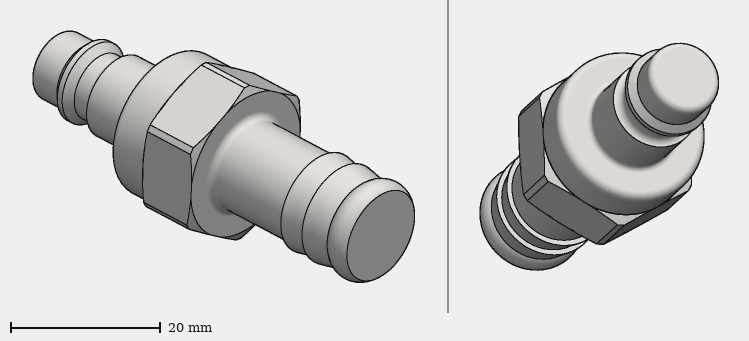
import cadquery as cq
import math

TOTAL_LENGTH = 60.0
RIDGE_START = 5.0
RIDGE_CREST_START = 6.0
RIDGE_CREST_END = 6.9
SHOULDER_X = 11.4
COLLAR_START = 20.0
HEX_START = 26.1
HEX_END = 35.05
BARB_STARTS = (48.5, 52.4)
BARB_ENDS = (52.1, 56.35)
BEAD_START = BARB_ENDS[-1]

TIP_RADIUS = 10.0 / 2
NECK_RADIUS = 9.7 / 2
PLUG_RADIUS = 12.0 / 2
COLLAR_RADIUS = 21.0 / 2
TAIL_RADIUS = 13.1 / 2
BARB_RADIUS = 14.5 / 2
BEAD_RADIUS = 14.65 / 2

TIP_ROUND = 0.9
NECK_FILLET = 1.1
COLLAR_FILLET = 0.7
COLLAR_ROUND = 1.1
TAIL_FILLET = 1.0
BARB_LAND = 0.25

HEX_ACROSS_FLATS = 21.0
HEX_CORNER_RADIUS = 23.7 / 2
HEX_ROTATION = 3.7
HEX_FACE_RADIUS = 10.55
HEX_BEVEL_LENGTH = 0.5

ARC_MIDDLE = math.sqrt(0.5)


def revolve_about_x(profile):
    """Close a profile lying in XY and turn it around the X axis."""
    return profile.close().revolve(360, (0, 0, 0), (1, 0, 0))


def round_over(profile, x, radius, size):
    """Convex quarter round from a face at x out to the given radius."""
    return (
        profile.lineTo(x, radius - size)
        .threePointArc((x + size * (1 - ARC_MIDDLE), radius - size * (1 - ARC_MIDDLE)), (x + size, radius))
    )


def fillet_up(profile, x, radius, size):
    """Concave quarter fillet from a cylinder up to a face at x."""
    return (
        profile.lineTo(x - size, radius)
        .threePointArc((x - size * (1 - ARC_MIDDLE), radius + size * (1 - ARC_MIDDLE)), (x, radius + size))
    )


def fillet_down(profile, x, radius, size):
    """Concave quarter fillet from a face at x down to a cylinder."""
    return (
        profile.lineTo(x, radius + size)
        .threePointArc((x + size * (1 - ARC_MIDDLE), radius + size * (1 - ARC_MIDDLE)), (x + size, radius))
    )


def make_plug():
    """Plug with its 45 degree locking ridge, neck and collar."""
    neck_start = RIDGE_CREST_END + PLUG_RADIUS - NECK_RADIUS
    profile = cq.Workplane("XY").moveTo(0, 0)
    profile = round_over(profile, 0, TIP_RADIUS, TIP_ROUND)
    profile = (
        profile.lineTo(RIDGE_START, TIP_RADIUS)
        .lineTo(RIDGE_CREST_START, PLUG_RADIUS)
        .lineTo(RIDGE_CREST_END, PLUG_RADIUS)
        .lineTo(neck_start, NECK_RADIUS)
    )
    profile = fillet_up(profile, SHOULDER_X, NECK_RADIUS, NECK_FILLET)
    profile = profile.lineTo(SHOULDER_X, PLUG_RADIUS)
    profile = fillet_up(profile, COLLAR_START, PLUG_RADIUS, COLLAR_FILLET)
    profile = round_over(profile, COLLAR_START, COLLAR_RADIUS, COLLAR_ROUND)
    profile = profile.lineTo(HEX_START, COLLAR_RADIUS).lineTo(HEX_START, 0)
    return revolve_about_x(profile)


def make_hexagon():
    """Hexagon along X, trimmed to a cylinder with a bevel at each end."""
    length = HEX_END - HEX_START
    prism = (
        cq.Workplane("YZ", origin=(HEX_START, 0, 0))
        .polygon(6, HEX_ACROSS_FLATS / math.cos(math.radians(30)))
        .extrude(length)
        .rotate((0, 0, 0), (1, 0, 0), 30 - HEX_ROTATION)
    )
    trim = (
        cq.Workplane("XY")
        .moveTo(HEX_START, 0)
        .lineTo(HEX_START, HEX_FACE_RADIUS)
        .lineTo(HEX_START + HEX_BEVEL_LENGTH, HEX_CORNER_RADIUS)
        .lineTo(HEX_END - HEX_BEVEL_LENGTH, HEX_CORNER_RADIUS)
        .lineTo(HEX_END, HEX_FACE_RADIUS)
        .lineTo(HEX_END, 0)
    )
    return prism.intersect(revolve_about_x(trim))


def make_hose_tail():
    """Hose tail with tapered barbs and a rounded bead at the end."""
    profile = cq.Workplane("XY").moveTo(HEX_END, 0)
    profile = fillet_down(profile, HEX_END, TAIL_RADIUS, TAIL_FILLET)
    for start, end in zip(BARB_STARTS, BARB_ENDS):
        profile = (
            profile.lineTo(start, TAIL_RADIUS)
            .lineTo(start, BARB_RADIUS)
            .lineTo(start + BARB_LAND, BARB_RADIUS)
            .lineTo(end, TAIL_RADIUS)
        )
    profile = (
        profile.threePointArc(((BEAD_START + TOTAL_LENGTH) / 2, BEAD_RADIUS), (TOTAL_LENGTH, TAIL_RADIUS))
        .lineTo(TOTAL_LENGTH, 0)
    )
    return revolve_about_x(profile)


result = make_plug().union(make_hexagon()).union(make_hose_tail())